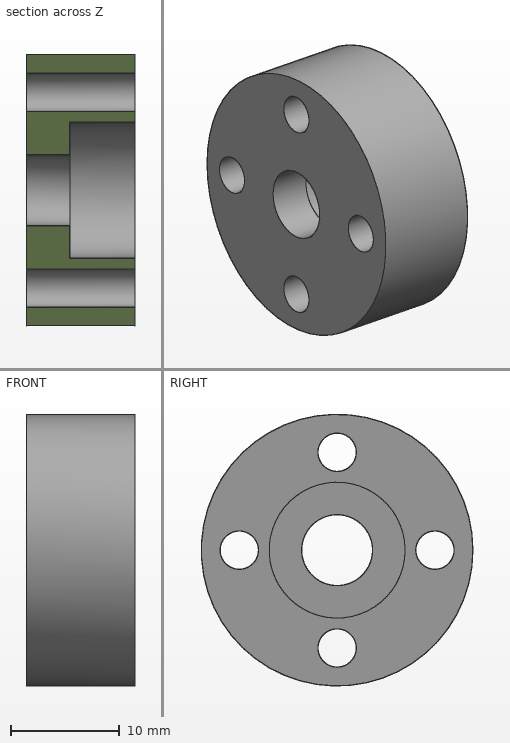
import cadquery as cq

outer_diameter = 25.0
thickness = 10.0
bore_diameter = 6.5
recess_diameter = 12.5
recess_depth = 6.0
bolt_hole_diameter = 3.5
bolt_circle_diameter = 18.0
bolt_hole_count = 4


def cylinder_along_x(diameter, start_x, length):
    """Solid cylinder on the X axis, running from start_x toward +X."""
    return cq.Workplane("YZ", origin=(start_x, 0, 0)).circle(diameter / 2).extrude(length)


front_x = -thickness / 2
back_x = thickness / 2

body = cylinder_along_x(outer_diameter, front_x, thickness)
bore = cylinder_along_x(bore_diameter, front_x, thickness)

recess = cylinder_along_x(recess_diameter, back_x - recess_depth, recess_depth)

bolt_holes = (
    cq.Workplane("YZ", origin=(front_x, 0, 0))
    .polarArray(bolt_circle_diameter / 2, 0, 360, bolt_hole_count)
    .circle(bolt_hole_diameter / 2)
    .extrude(thickness)
)

result = body.cut(bore).cut(recess).cut(bolt_holes)